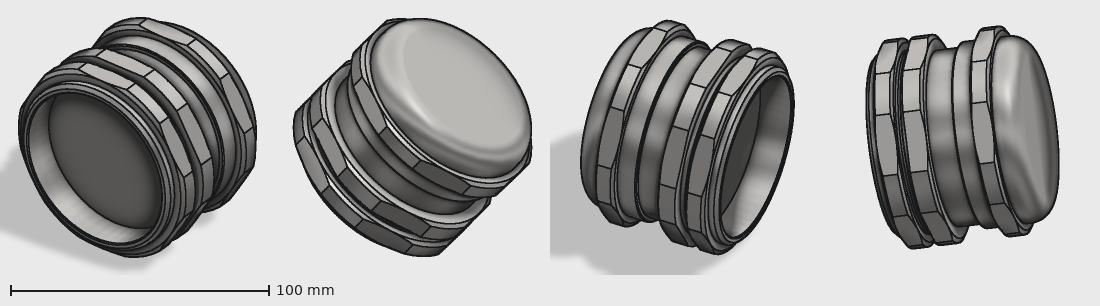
import cadquery as cq
import math


overall_length = 61.08
hex_width = 8.0
locknut_start = 4.0
thread_length = 14.0
body_hex_start = 16.0
cap_start = 34.6
cap_hex_start = 42.6

thread_diameter = 72.0
bore_diameter = 65.0
neck_diameter = 69.0
cap_diameter = 73.0
seal_diameter = 73.0
seal_rim_height = 0.6

across_flats = 78.0
corner_diameter = 81.5
bevel_angle = 30.0

thread_end_chamfer = 1.5
thread_inner_chamfer = 0.9
cap_lip_chamfer = 0.5
bore_mouth_chamfer = 0.5
dome_radius = 8.2
bore_depth = 13.5


def cylinder(diameter, start, length):
    """Cylinder on the Y axis, running from start towards +Y."""
    return cq.Workplane("XZ", origin=(0, start, 0)).circle(diameter / 2).extrude(-length)


def hexagon(start, near_bevel):
    """Hexagon with flats facing +Z and -Z; the +Y side is always bevelled, the -Y side if near_bevel."""
    end = start + hex_width
    flat_radius = across_flats / 2
    corner_radius = corner_diameter / 2
    bevel = (corner_radius - flat_radius) * math.tan(math.radians(bevel_angle))

    across_corners = across_flats / math.cos(math.pi / 6)
    prism = cq.Workplane("XZ", origin=(0, start, 0)).polygon(6, across_corners).extrude(-hex_width)

    half_profile = cq.Workplane("XY").moveTo(0, start)
    if near_bevel:
        half_profile = half_profile.lineTo(flat_radius, start).lineTo(corner_radius, start + bevel)
    else:
        half_profile = half_profile.lineTo(corner_radius, start)
    half_profile = half_profile.lineTo(corner_radius, end - bevel).lineTo(flat_radius, end).lineTo(0, end)
    turned_blank = half_profile.close().revolve(360, (0, 0, 0), (0, 1, 0))
    return prism.intersect(turned_blank)


def thread():
    """Threaded spigot, chamfered at both ends."""
    return (
        cylinder(thread_diameter, 0, thread_length)
        .faces("<Y").chamfer(thread_end_chamfer)
        .faces(">Y").chamfer(thread_inner_chamfer)
    )


def seal():
    """Sealing ring with a rounded rim between the thread and the body hexagon."""
    middle = (thread_length + body_hex_start) / 2
    rim = seal_diameter / 2
    shoulder = rim - seal_rim_height
    return (
        cq.Workplane("XY")
        .moveTo(0, thread_length)
        .lineTo(shoulder, thread_length)
        .threePointArc((rim, middle), (shoulder, body_hex_start))
        .lineTo(0, body_hex_start)
        .close()
        .revolve(360, (0, 0, 0), (0, 1, 0))
    )


def neck():
    """Plain cylinder joining the body hexagon to the cap."""
    return cylinder(neck_diameter, body_hex_start, cap_start - body_hex_start)


def cap():
    """Domed cap with a small chamfer on its open lip."""
    return (
        cylinder(cap_diameter, cap_start, overall_length - cap_start)
        .faces("<Y").chamfer(cap_lip_chamfer)
        .faces(">Y").edges().fillet(dome_radius)
    )


def bore():
    """Blind bore in the thread end with a chamfered mouth."""
    mouth_radius = bore_diameter / 2 + bore_mouth_chamfer
    mouth = (
        cq.Workplane("XZ")
        .circle(mouth_radius)
        .workplane(offset=-bore_mouth_chamfer)
        .circle(bore_diameter / 2)
        .loft()
    )
    return cylinder(bore_diameter, 0, bore_depth).union(mouth)


outside = thread().union(seal()).union(neck()).union(cap())
outside = outside.union(hexagon(locknut_start, near_bevel=True))
outside = outside.union(hexagon(body_hex_start, near_bevel=False))
outside = outside.union(hexagon(cap_hex_start, near_bevel=True))
result = outside.cut(bore())